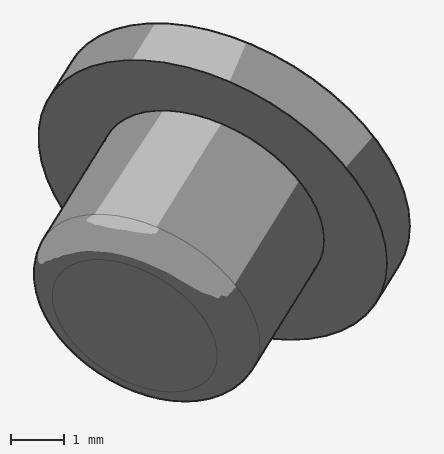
import cadquery as cq

flange_diameter = 7.2
flange_thickness = 1.0
pin_diameter = 4.6
total_length = 4.4
tip_radius = 0.6

pin_length = total_length - flange_thickness

flange = cq.Workplane("XZ").circle(flange_diameter / 2).extrude(-flange_thickness)

pin = (
    cq.Workplane("XZ")
    .circle(pin_diameter / 2)
    .extrude(pin_length)
    .faces("<Y")
    .edges()
    .fillet(tip_radius)
)

result = flange.union(pin)